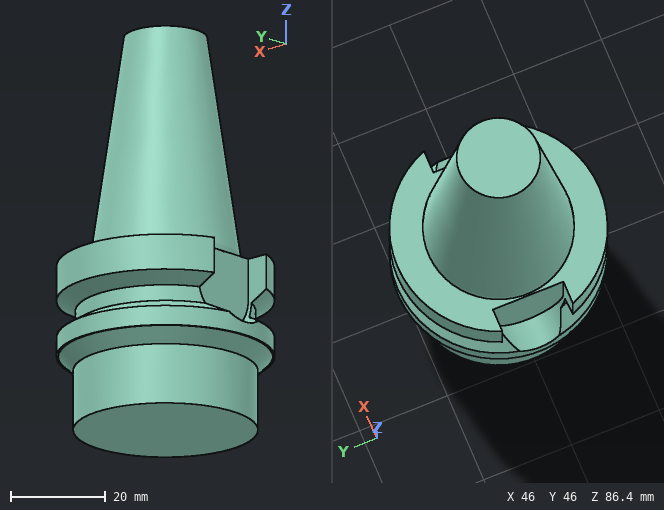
import cadquery as cq

total_height = 86.4
flange_diameter = 46.0
body_diameter = 39.0
groove_diameter = 38.0
taper_large_diameter = 31.9
taper_small_diameter = 17.6

body_top = 13.05
flange_bottom = 16.2
groove_bottom_edge = 20.4
groove_floor_bottom = 22.7
groove_floor_top = 26.2
groove_top_edge = 28.4
flange_top = 36.1
taper_start = 37.7

slot_width = 16.1
slot_bottom = 19.0
slot_face_distance = 16.3


def turned_body():
    """Revolve the half profile (radius, height) about the Z axis."""
    flange_radius = flange_diameter / 2
    body_radius = body_diameter / 2
    groove_radius = groove_diameter / 2
    taper_radius = taper_large_diameter / 2
    chamfer_radius = body_radius + flange_bottom - body_top
    profile = [
        (0, 0),
        (body_radius, 0),
        (body_radius, body_top),
        (chamfer_radius, flange_bottom),
        (flange_radius, flange_bottom),
        (flange_radius, groove_bottom_edge),
        (groove_radius, groove_floor_bottom),
        (groove_radius, groove_floor_top),
        (flange_radius, groove_top_edge),
        (flange_radius, flange_top),
        (taper_radius, flange_top),
        (taper_radius, taper_start),
        (taper_small_diameter / 2, total_height),
        (0, total_height),
    ]
    return cq.Workplane("XZ").polyline(profile).close().revolve(360, (0, 0), (0, 1))


def drive_slot(side):
    """Round-bottomed slot cutter, open at the top; side is +1 or -1 along X."""
    radius = slot_width / 2
    arc_center = slot_bottom + radius
    depth = flange_diameter / 2 - slot_face_distance
    return (
        cq.Workplane("YZ", origin=(side * slot_face_distance, 0, 0))
        .moveTo(-radius, flange_top)
        .lineTo(-radius, arc_center)
        .threePointArc((0, slot_bottom), (radius, arc_center))
        .lineTo(radius, flange_top)
        .close()
        .extrude(side * depth)
    )


result = turned_body()
for side in (-1, 1):
    result = result.cut(drive_slot(side))